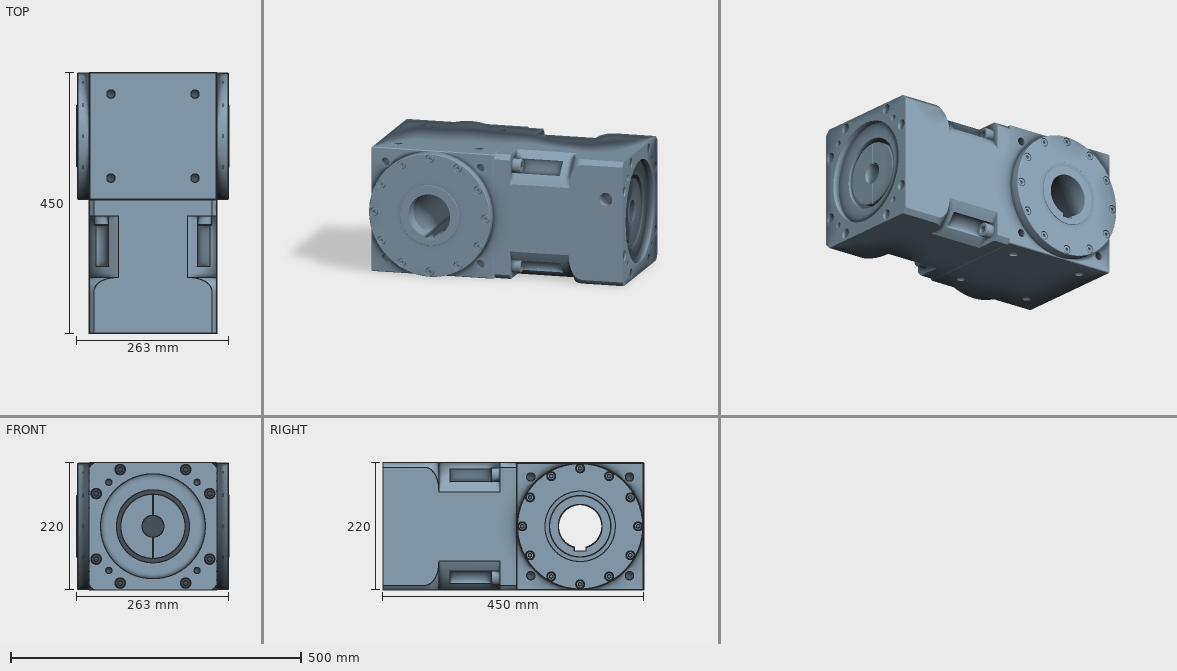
import cadquery as cq
import math


TOTAL_LENGTH = 450.0
BLOCK_SIZE = 220.0
HALF_BLOCK = BLOCK_SIZE / 2
REAR_Y = -HALF_BLOCK
FRONT_Y = HALF_BLOCK - TOTAL_LENGTH

BLOCK_CHAMFER = 1.5
COVER_RADIUS = 109.0
COVER_THICKNESS = 20.0
COVER_CHAMFER = 1.0
COVER_FACE_X = HALF_BLOCK + COVER_THICKNESS
SEAL_RADIUS = 60.8
SEAL_RECESS = 0.22
COVER_SCREW_COUNT = 12
COVER_SCREW_CIRCLE = 100.0
COVER_SCREW_POCKET_RADIUS = 7.5
COVER_SCREW_POCKET_DEPTH = 9.0
COVER_SCREW_HEAD_RADIUS = 6.5
COVER_SCREW_HEAD_HEIGHT = 8.0
COVER_SCREW_SOCKET = 6.0
MOUNT_HOLE_RADIUS = 7.0
MOUNT_HOLE_DEPTH = 20.2
TOP_HOLE_OFFSET = 72.5
SIDE_HOLE_OFFSET = 85.0
DRILL_POINT_ANGLE = 118.0

SHAFT_RADIUS = 53.0
SHAFT_LENGTH = 263.0
SHAFT_CHAMFER = 0.5
SHAFT_BORE_RADIUS = 37.5
SHAFT_RELIEF_RADIUS = 38.2
SHAFT_BORE_LAND = 30.0
KEYWAY_WIDTH = 20.0
KEYWAY_BOTTOM = 42.5

FLANGE_THICKNESS = 28.0
RING_LENGTH = 86.5
ADAPTER_NECK = 19.5
CORNER_RADIUS = 150.0
RING_RADIUS = 125.0
FLANGE_FRONT_Y = REAR_Y - FLANGE_THICKNESS
RING_FRONT_Y = FLANGE_FRONT_Y - RING_LENGTH
NECK_FRONT_Y = RING_FRONT_Y - ADAPTER_NECK
FLANGE_BOLT_OFFSET = RING_RADIUS / math.sqrt(2)
BOLT_CHANNEL_RADIUS = 15.5
FLANGE_BOLT_RADIUS = 12.0
FLANGE_BOLT_HEIGHT = 15.8
FLANGE_BOLT_SOCKET = 14.0
FLANGE_BOLT_CHAMFER = 1.0

PILOT_RADIUS = 90.5
PILOT_DEPTH = 12.0
CAVITY_RADIUS = 63.0
CAVITY_DEPTH = 67.5
PILOT_FLOOR_Y = FRONT_Y + PILOT_DEPTH
CAVITY_FLOOR_Y = PILOT_FLOOR_Y + CAVITY_DEPTH
ADAPTER_SCREW_CIRCLE = 113.0
ADAPTER_SCREW_ANGLES = [30, 60, 120, 150, 210, 240, 300, 330]
ADAPTER_SCREW_HOLE_RADIUS = 9.0
ADAPTER_SCREW_HOLE_DEPTH = 90.0
ADAPTER_SCREW_HEAD_RADIUS = 8.0
ADAPTER_SCREW_HEAD_HEIGHT = 10.0
ADAPTER_SCREW_SOCKET = 8.0
MOTOR_HOLE_OFFSET = 76.0
MOTOR_HOLE_RADIUS = 5.5
MOTOR_HOLE_DEPTH = 20.2
ACCESS_HOLE_RADIUS = 11.5
ACCESS_HOLE_Z = 43.5
ACCESS_HOLE_SETBACK = 30.0

HUB_RADIUS = 55.5
HUB_RECESS = 2.0
HUB_LENGTH = CAVITY_DEPTH - HUB_RECESS
HUB_BORE_RADIUS = 19.0
SLIT_WIDTH = 2.0
SLIT_DEPTH = 49.5

AXIS_X = cq.Vector(1, 0, 0)
AXIS_Y = cq.Vector(0, 1, 0)
AXIS_Z = cq.Vector(0, 0, 1)


def cylinder(radius, length, start, direction):
    """Cylinder that runs from start along direction."""
    return cq.Workplane(cq.Solid.makeCylinder(radius, length, start, direction))


def drilled_hole(radius, depth, start, direction):
    """Blind hole with a full-diameter drill point at its end."""
    point_height = radius / math.tan(math.radians(DRILL_POINT_ANGLE / 2))
    point = cq.Solid.makeCone(radius, 0, point_height, start + direction * depth, direction)
    return cylinder(radius, depth, start, direction).union(cq.Workplane(point))


def socket_head(radius, height, across_flats, seat, direction):
    """Cap screw head standing on seat, with a hexagon socket half its height deep."""
    plane = cq.Plane(seat, xDir=AXIS_Z, normal=direction)
    across_corners = across_flats / math.cos(math.radians(30))
    head = cq.Workplane(plane).circle(radius).extrude(height)
    socket = (
        cq.Workplane(plane)
        .workplane(offset=height / 2)
        .polygon(6, across_corners)
        .extrude(height / 2)
    )
    return head.cut(socket)


def corner_places(offset):
    """The four corners of a square of half-width offset."""
    return [(a, b) for a in (-offset, offset) for b in (-offset, offset)]


def cover(side):
    """Round bearing cover with recessed screws, on the -X or +X side of the block."""
    outward = AXIS_X * side
    disc = cylinder(COVER_RADIUS, COVER_THICKNESS, outward * HALF_BLOCK, outward)
    disc = disc.faces(">X" if side > 0 else "<X").chamfer(COVER_CHAMFER)
    seal_floor = outward * (COVER_FACE_X - SEAL_RECESS)
    disc = disc.cut(cylinder(SEAL_RADIUS, SEAL_RECESS, seal_floor, outward))
    for index in range(COVER_SCREW_COUNT):
        angle = 2 * math.pi * index / COVER_SCREW_COUNT
        seat = cq.Vector(
            side * (COVER_FACE_X - COVER_SCREW_POCKET_DEPTH),
            COVER_SCREW_CIRCLE * math.cos(angle),
            COVER_SCREW_CIRCLE * math.sin(angle),
        )
        disc = disc.cut(cylinder(COVER_SCREW_POCKET_RADIUS, COVER_SCREW_POCKET_DEPTH, seat, outward))
        disc = disc.union(socket_head(
            COVER_SCREW_HEAD_RADIUS, COVER_SCREW_HEAD_HEIGHT, COVER_SCREW_SOCKET, seat, outward
        ))
    return disc


def make_housing():
    """Cubic block with both covers, mounting holes and the through hole for the shaft."""
    body = cq.Workplane().box(BLOCK_SIZE, BLOCK_SIZE, BLOCK_SIZE).edges().chamfer(BLOCK_CHAMFER)
    for side in (-1, 1):
        body = body.union(cover(side))
        for x, y in corner_places(TOP_HOLE_OFFSET):
            start = cq.Vector(x, y, side * HALF_BLOCK)
            body = body.cut(drilled_hole(MOUNT_HOLE_RADIUS, MOUNT_HOLE_DEPTH, start, AXIS_Z * -side))
        for y, z in corner_places(SIDE_HOLE_OFFSET):
            start = cq.Vector(side * HALF_BLOCK, y, z)
            body = body.cut(drilled_hole(MOUNT_HOLE_RADIUS, MOUNT_HOLE_DEPTH, start, AXIS_X * -side))
    return body.cut(cylinder(SHAFT_RADIUS, SHAFT_LENGTH, AXIS_X * (-SHAFT_LENGTH / 2), AXIS_X))


def make_shaft():
    """Hollow output shaft, keyed along its whole bore and relieved between the end lands."""
    start = AXIS_X * (-SHAFT_LENGTH / 2)
    relief_length = SHAFT_LENGTH - 2 * SHAFT_BORE_LAND
    relief_start = AXIS_X * (-relief_length / 2)
    keyway = (
        cq.Workplane()
        .box(SHAFT_LENGTH, KEYWAY_WIDTH, KEYWAY_BOTTOM)
        .translate((0, 0, -KEYWAY_BOTTOM / 2))
    )
    return (
        cylinder(SHAFT_RADIUS, SHAFT_LENGTH, start, AXIS_X)
        .faces("<X or >X")
        .chamfer(SHAFT_CHAMFER)
        .cut(cylinder(SHAFT_BORE_RADIUS, SHAFT_LENGTH, start, AXIS_X))
        .cut(cylinder(SHAFT_RELIEF_RADIUS, relief_length, relief_start, AXIS_X))
        .cut(keyway)
    )


def square_section(rear_y, front_y):
    """Square bar of the block's width between two Y positions."""
    length = rear_y - front_y
    return cq.Workplane().box(BLOCK_SIZE, length, BLOCK_SIZE).translate((0, front_y + length / 2, 0))


def rounded_section(corner_radius, rear_y, front_y):
    """Square bar with its corners turned to corner_radius about the input axis."""
    turned = cylinder(corner_radius, rear_y - front_y, AXIS_Y * front_y, AXIS_Y)
    return square_section(rear_y, front_y).intersect(turned)


def gear_ring():
    """Flange and gear ring with their joint line kept, and a bolt in a channel at each corner."""
    seats = [cq.Vector(x, FLANGE_FRONT_Y, z) for x, z in corner_places(FLANGE_BOLT_OFFSET)]
    ring = rounded_section(RING_RADIUS, FLANGE_FRONT_Y, RING_FRONT_Y)
    for seat in seats:
        ring = ring.cut(cylinder(BOLT_CHANNEL_RADIUS, RING_LENGTH, seat, -AXIS_Y))

    body = rounded_section(CORNER_RADIUS, REAR_Y, FLANGE_FRONT_Y).union(ring, clean=False)
    for seat in seats:
        bolt = socket_head(
            FLANGE_BOLT_RADIUS, FLANGE_BOLT_HEIGHT, FLANGE_BOLT_SOCKET, seat, -AXIS_Y
        )
        bolt = bolt.faces("<Y").edges("%CIRCLE").chamfer(FLANGE_BOLT_CHAMFER)
        body = body.union(bolt, clean=False)
    return body


def adapter():
    """Motor adapter: a turned neck that rounds out to the full square, bored for the hub."""
    corner = cylinder(CORNER_RADIUS, NECK_FRONT_Y - FRONT_Y, AXIS_Y * FRONT_Y, AXIS_Y)
    corner = corner.faces(">Y").edges().fillet(CORNER_RADIUS - RING_RADIUS)
    neck = rounded_section(RING_RADIUS, RING_FRONT_Y, NECK_FRONT_Y)
    body = square_section(NECK_FRONT_Y, FRONT_Y).intersect(corner).union(neck)
    body = body.cut(cylinder(PILOT_RADIUS, PILOT_DEPTH, AXIS_Y * FRONT_Y, AXIS_Y))
    body = body.cut(cylinder(CAVITY_RADIUS, CAVITY_DEPTH, AXIS_Y * PILOT_FLOOR_Y, AXIS_Y))

    access = cq.Vector(-HALF_BLOCK, FRONT_Y + ACCESS_HOLE_SETBACK, ACCESS_HOLE_Z)
    body = body.cut(cylinder(ACCESS_HOLE_RADIUS, HALF_BLOCK, access, AXIS_X))

    for x, z in corner_places(MOTOR_HOLE_OFFSET):
        start = cq.Vector(x, FRONT_Y, z)
        body = body.cut(drilled_hole(MOTOR_HOLE_RADIUS, MOTOR_HOLE_DEPTH, start, AXIS_Y))

    for degrees in ADAPTER_SCREW_ANGLES:
        angle = math.radians(degrees)
        seat = cq.Vector(
            ADAPTER_SCREW_CIRCLE * math.cos(angle),
            FRONT_Y + ADAPTER_SCREW_HOLE_DEPTH,
            ADAPTER_SCREW_CIRCLE * math.sin(angle),
        )
        body = body.cut(cylinder(ADAPTER_SCREW_HOLE_RADIUS, ADAPTER_SCREW_HOLE_DEPTH, seat, -AXIS_Y))
        body = body.union(socket_head(
            ADAPTER_SCREW_HEAD_RADIUS, ADAPTER_SCREW_HEAD_HEIGHT, ADAPTER_SCREW_SOCKET, seat, -AXIS_Y
        ))
    return body


def make_gearhead():
    """Gear ring and motor adapter as one solid that keeps the joint lines between its sections."""
    return gear_ring().union(adapter(), clean=False)


def make_hub():
    """Clamp hub standing on the cavity floor, slit across its diameter from the front."""
    start = AXIS_Y * CAVITY_FLOOR_Y
    hub_front_y = CAVITY_FLOOR_Y - HUB_LENGTH
    slit = (
        cq.Workplane()
        .box(SLIT_WIDTH, SLIT_DEPTH, 2 * HUB_RADIUS)
        .translate((0, hub_front_y + SLIT_DEPTH / 2, 0))
    )
    return (
        cylinder(HUB_RADIUS, HUB_LENGTH, start, -AXIS_Y)
        .cut(cylinder(HUB_BORE_RADIUS, HUB_LENGTH, start, -AXIS_Y))
        .cut(slit)
    )


housing = make_housing()
shaft = make_shaft()
gearhead = make_gearhead()
hub = make_hub()

result = cq.Compound.makeCompound([housing.val(), shaft.val(), gearhead.val(), hub.val()])